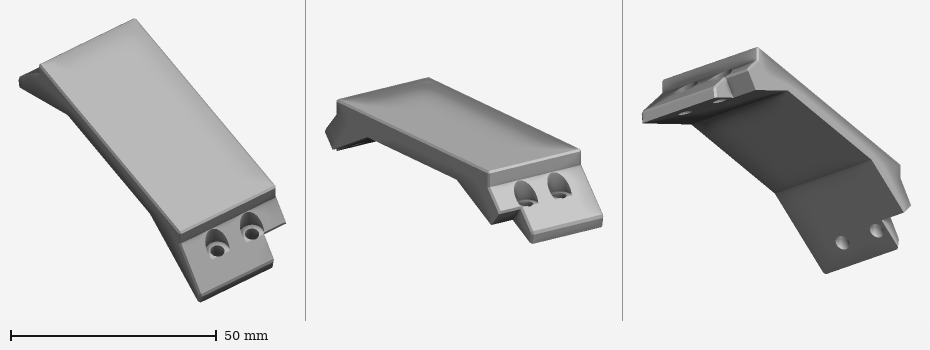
import cadquery as cq
import math

width = 28.0
height = 17.5
edge_chamfer = 0.5

deck_half_length = 32.0
wall_depth = 4.0
arm_corner_x = 41.3
arm_corner_depth = 14.5
tip_x = 40.8
knee_x = 18.6
deck_thickness = 5.9

rear_strip_width = 6.4
short_arm_x = 36.7
short_tip_x = 33.05

hole_diameter = 3.5
counterbore_diameter = 5.9
counterbore_depth = 9.2
hole_x = 35.0
hole_spacing = 10.0
rear_hole_inset = 9.1

front_y = -width / 2
rear_y = width / 2
arm_slope = (arm_corner_depth - wall_depth) / (arm_corner_x - deck_half_length)
underside_slope = (height - deck_thickness) / (tip_x - knee_x)

long_arm_corner = (arm_corner_x, -arm_corner_depth)
long_arm_tip = (tip_x, -height)

short_arm_corner = (short_arm_x, -wall_depth - arm_slope * (short_arm_x - deck_half_length))
short_arm_tip = (short_tip_x, -deck_thickness - underside_slope * (short_tip_x - knee_x))


def bridge(arm_corner, arm_tip, back_y, chamfered_end):
    """Mirrored arm profile from the front face to back_y, with its upper edges chamfered."""
    upper = [(deck_half_length, 0), (deck_half_length, -wall_depth), arm_corner]
    half = upper + [arm_tip, (knee_x, -deck_thickness)]
    mirrored = [(-x, z) for x, z in reversed(half)]
    profile = cq.Workplane("XZ", origin=(0, back_y, 0)).polyline(half + mirrored).close()
    body = profile.extrude(back_y - front_y)

    def is_chamfered(edge):
        """Tell whether an edge outlines the top, a wall, an arm slope or a chamfered arm end."""
        start = edge.startPoint()
        end = edge.endPoint()
        middle = (start + end) * 0.5
        x = abs(middle.x)
        along_y = math.isclose(start.z, end.z) and math.isclose(start.x, end.x)
        if along_y:
            convex_corners = [upper[0], arm_corner]
            return any(math.dist((x, middle.z), corner) < edge_chamfer / 2 for corner in convex_corners)
        end_middle = ((arm_corner[0] + arm_tip[0]) / 2, (arm_corner[1] + arm_tip[1]) / 2)
        on_end = math.dist((x, middle.z), end_middle) < edge_chamfer / 2
        if on_end:
            return chamfered_end
        underside_z = -deck_thickness - underside_slope * max(0, x - knee_x)
        return middle.z > underside_z + edge_chamfer / 2

    edges = [edge for edge in body.edges().vals() if is_chamfered(edge)]
    return body.newObject(edges).chamfer(edge_chamfer)


long_arms = bridge(long_arm_corner, long_arm_tip, rear_y - rear_strip_width, True)
short_arms = bridge(short_arm_corner, short_arm_tip, rear_y, False)
result = long_arms.union(short_arms)

rear_hole_y = rear_y - rear_hole_inset
hole_points = [(side * hole_x, y) for side in (-1, 1) for y in (rear_hole_y, rear_hole_y - hole_spacing)]
hole_centres = cq.Workplane("XY").pushPoints(hole_points)
through_holes = hole_centres.circle(hole_diameter / 2).extrude(-height)
counterbores = hole_centres.circle(counterbore_diameter / 2).extrude(-counterbore_depth)
result = result.cut(through_holes).cut(counterbores)